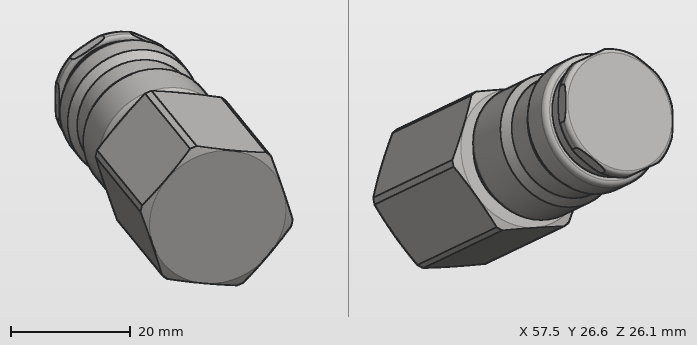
import cadquery as cq
import math


TOTAL_LENGTH = 57.5

FLANGE_DIAMETER = 22.0
FLANGE_ACROSS_FLATS = 21.0
FLANGE_LENGTH = 2.5
FLANGE_EDGE_RADIUS = 0.8

COLLAR_DIAMETER = 20.05
STEM_DIAMETER = 18.95

SLEEVE_DIAMETER = 23.15
SLEEVE_START = 5.2
SLEEVE_END = 28.7
SLEEVE_EDGE_RADIUS = 1.0
GRIP_DIAMETER = 21.0
GRIP_START = 12.35
GRIP_END = 17.35
GRIP_SLOPE_ANGLE = 30.0

HEX_ACROSS_FLATS = 24.0
HEX_CORNER_DIAMETER = 27.05
HEX_LENGTH = 26.2
HEX_TURN = -12.4
HEX_FACE_DIAMETER = 23.9
HEX_FRONT_CHAMFER = 0.4
HEX_REAR_CHAMFER = 0.5

HEX_START = TOTAL_LENGTH - HEX_LENGTH
SIDES = 6


def cylinder(start, end, diameter):
    """Solid round bar on the X axis."""
    return cq.Workplane("YZ", origin=(start, 0, 0)).circle(diameter / 2).extrude(end - start)


def hexagon(start, end, across_flats, turn):
    """Hexagonal bar on the X axis; a turn of 0 puts one corner on +Y."""
    corner_diameter = across_flats / math.cos(math.pi / SIDES)
    bar = cq.Workplane("YZ", origin=(start, 0, 0)).polygon(SIDES, corner_diameter).extrude(end - start)
    return bar.rotate((0, 0, 0), (1, 0, 0), turn)


def revolve_profile(points):
    """Turn a closed outline of (X, radius) points about the X axis."""
    axis_start = (0, 0)
    axis_end = (1, 0)
    return cq.Workplane("XY").polyline(points).close().revolve(360, axis_start, axis_end)


def make_flange():
    rim = cylinder(0, FLANGE_LENGTH, FLANGE_DIAMETER).edges().fillet(FLANGE_EDGE_RADIUS)
    corner_on_z = 90
    return rim.intersect(hexagon(0, FLANGE_LENGTH, FLANGE_ACROSS_FLATS, corner_on_z))


def make_rear_hexagon():
    face_radius = HEX_FACE_DIAMETER / 2
    corner_radius = HEX_CORNER_DIAMETER / 2
    envelope = revolve_profile([
        (HEX_START, 0),
        (HEX_START, face_radius),
        (HEX_START + HEX_FRONT_CHAMFER, corner_radius),
        (TOTAL_LENGTH - HEX_REAR_CHAMFER, corner_radius),
        (TOTAL_LENGTH, face_radius),
        (TOTAL_LENGTH, 0),
    ])
    return envelope.intersect(hexagon(HEX_START, TOTAL_LENGTH, HEX_ACROSS_FLATS, HEX_TURN))


def make_valve_body():
    collar = cylinder(FLANGE_LENGTH, SLEEVE_START, COLLAR_DIAMETER)
    stem = cylinder(SLEEVE_START, HEX_START, STEM_DIAMETER)
    return make_flange().union(collar).union(stem).union(make_rear_hexagon())


def make_grip_groove():
    """Ring with sloped sides, cut around the sleeve for the fingers."""
    outer_radius = SLEEVE_DIAMETER / 2
    floor_radius = GRIP_DIAMETER / 2
    slope_length = (outer_radius - floor_radius) / math.tan(math.radians(GRIP_SLOPE_ANGLE))
    return revolve_profile([
        (GRIP_START - slope_length, outer_radius),
        (GRIP_START, floor_radius),
        (GRIP_END, floor_radius),
        (GRIP_END + slope_length, outer_radius),
    ])


def make_sleeve():
    shell = cylinder(SLEEVE_START, SLEEVE_END, SLEEVE_DIAMETER).edges().fillet(SLEEVE_EDGE_RADIUS)
    bore = cylinder(SLEEVE_START, SLEEVE_END, STEM_DIAMETER)
    return shell.cut(make_grip_groove()).cut(bore)


valve_body = make_valve_body()
sleeve = make_sleeve()

result = cq.Compound.makeCompound([valve_body.solids().val(), sleeve.solids().val()])